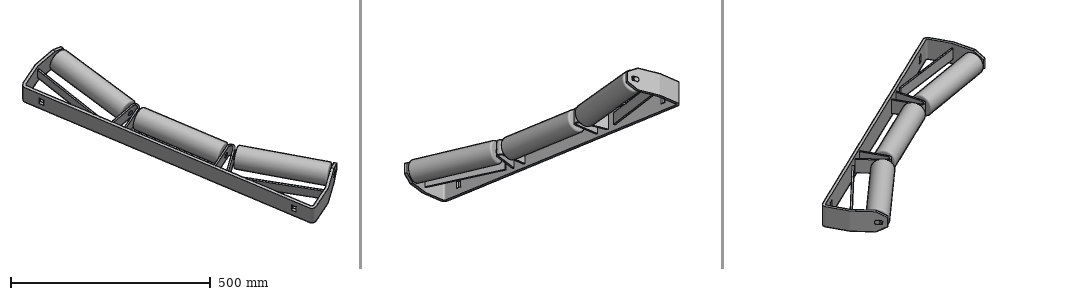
import cadquery as cq
import math

tilt = 15.0

frame_length = 830.0
frame_height = 60.0
frame_thickness = 8.0
inside_bend_radius = 5.0
upright_height = 76.7
arm_length = 94.25
tip_chamfer_length = 30.0
tip_width = 28.0

mount_hole_spacing = 715.0
mount_hole_width = 13.0
mount_hole_height = 20.0

roller_radius = 30.5
roller_length = 240.0
roller_edge_radius = 5.0
roller_gap = 4.5
roller_axis_z = 28.5
centre_axis_y = 70.0
wing_axis_below_tip = 26.2
shaft_diameter = 14.0
shaft_flat_width = 12.0
arm_slot_length = 20.5

bracket_thickness = 5.0
bracket_width = 40.0
bracket_bend_y = 82.0

brace_thickness = 5.0
brace_width = 32.0
brace_foot_x = 191.0
brace_head_y = 73.6

lean = math.radians(tilt)
half_length = frame_length / 2
upright_inside_x = half_length - frame_thickness
shaft_span = roller_length + 2 * roller_gap

along = cq.Vector(-math.sin(lean), math.cos(lean), 0)
inward = cq.Vector(-math.cos(lean), -math.sin(lean), 0)

arm_corner = cq.Vector(half_length, upright_height, 0)
arm_tip = arm_corner + along * arm_length
arm_tip_inside = arm_tip + inward * frame_thickness

wing_axis_height = cq.Vector(0, 0, roller_axis_z)
wing_span_start = arm_tip_inside - along * wing_axis_below_tip + wing_axis_height
wing_span_end = wing_span_start + inward * shaft_span


def mirrored(body):
    return body.mirror("YZ")


def plane_across_wing(origin):
    """Plane with x along the arm, y along Z and its normal inward along the wing axis."""
    return cq.Plane(origin.toTuple(), along.toTuple(), inward.toTuple())


def bent_strip():
    inside_corner_y = upright_height - frame_thickness * math.tan(lean / 2)
    right_side = [
        (half_length, 0),
        (half_length, upright_height),
        (arm_tip.x, arm_tip.y),
        (arm_tip_inside.x, arm_tip_inside.y),
        (upright_inside_x, inside_corner_y),
        (upright_inside_x, frame_thickness),
    ]
    left_side = [(-x, y) for x, y in reversed(right_side)]
    strip = cq.Workplane("XY").polyline(right_side + left_side).close().extrude(frame_height)

    outside_bend_radius = inside_bend_radius + frame_thickness
    bends = [
        (half_length, 0, outside_bend_radius),
        (half_length, upright_height, outside_bend_radius),
        (upright_inside_x, frame_thickness, inside_bend_radius),
        (upright_inside_x, inside_corner_y, inside_bend_radius),
    ]
    for side in (1, -1):
        for x, y, radius in bends:
            corner = cq.selectors.NearestToPointSelector((side * x, y, frame_height / 2))
            strip = strip.edges("|Z").edges(corner).fillet(radius)
    return strip


def tip_chamfers():
    """Triangular prisms that narrow the tip of the +X arm."""
    tip_middle = arm_tip + cq.Vector(0, 0, frame_height / 2)
    prisms = cq.Workplane(plane_across_wing(tip_middle))
    for side in (1, -1):
        edge = side * frame_height / 2
        prisms = prisms.polyline(
            [(-tip_chamfer_length, edge), (0, edge), (0, side * tip_width / 2)]
        ).close()
    return prisms.extrude(frame_thickness)


def arm_slot():
    """Slot in the +X arm whose lower end carries the wing shaft."""
    slot_centre_shift = (arm_slot_length - shaft_diameter) / 2
    plane = plane_across_wing(wing_span_start - inward * frame_thickness)
    round_slot = (
        cq.Workplane(plane)
        .center(slot_centre_shift, 0)
        .slot2D(arm_slot_length, shaft_diameter)
        .extrude(frame_thickness)
    )
    flat_sides = (
        cq.Workplane(plane)
        .center(slot_centre_shift, 0)
        .rect(arm_slot_length, shaft_flat_width)
        .extrude(frame_thickness)
    )
    return round_slot.intersect(flat_sides)


def make_frame():
    frame = bent_strip()
    for cutter in (tip_chamfers(), arm_slot()):
        frame = frame.cut(cutter).cut(mirrored(cutter))
    mount_holes = (
        cq.Workplane("XZ")
        .center(0, frame_height / 2)
        .rarray(mount_hole_spacing, 1, 2, 1)
        .rect(mount_hole_width, mount_hole_height)
        .extrude(-frame_thickness)
    )
    return frame.cut(mount_holes)


def make_roller(span_plane, start_plate, end_plate):
    """Roller with its shaft, whose ends pass through plates of the given thicknesses.

    The plane lies at the start of the clear span, square to the axis, with its y along Z.
    """
    body = (
        cq.Workplane(span_plane)
        .workplane(offset=roller_gap)
        .circle(roller_radius)
        .extrude(roller_length)
        .edges()
        .fillet(roller_edge_radius)
    )
    shaft_length = start_plate + shaft_span + end_plate
    shaft_end = cq.Workplane(span_plane).workplane(offset=-start_plate)
    round_shaft = shaft_end.circle(shaft_diameter / 2).extrude(shaft_length)
    flat_sides = shaft_end.rect(shaft_diameter, shaft_flat_width).extrude(shaft_length)
    return body.union(round_shaft.intersect(flat_sides))


def make_bracket(shafts):
    """Upright leg, bend and leaning leg at the +X end of the centre roller, bored for the shafts."""
    upright_face_x = shaft_span / 2
    upright_face_top = cq.Vector(upright_face_x, bracket_bend_y, 0)
    face_distance = (upright_face_top - wing_span_end).dot(inward)
    outside_radius = face_distance / (1 + math.cos(lean))
    bend_centre = cq.Vector(upright_face_x + outside_radius, bracket_bend_y, 0)
    middle_angle = (math.pi + lean) / 2
    to_middle = cq.Vector(math.cos(middle_angle), math.sin(middle_angle), 0)

    def side_points(radius):
        """Upright foot, upright top, bend middle, leaning top and leaning foot at one radius."""
        upright_x = bend_centre.x - radius
        middle = bend_centre + to_middle * radius
        leaning_top = bend_centre - inward * radius
        leaning_foot = leaning_top - along * ((leaning_top.y - frame_thickness) / along.y)
        points = [(upright_x, frame_thickness), (upright_x, bracket_bend_y)]
        return points + [(p.x, p.y) for p in (middle, leaning_top, leaning_foot)]

    outside = side_points(outside_radius)
    inside = side_points(outside_radius - bracket_thickness)
    bracket = (
        cq.Workplane("XY", origin=(0, 0, (frame_height - bracket_width) / 2))
        .moveTo(*outside[0])
        .lineTo(*outside[1])
        .threePointArc(outside[2], outside[3])
        .lineTo(*outside[4])
        .lineTo(*inside[4])
        .lineTo(*inside[3])
        .threePointArc(inside[2], inside[1])
        .lineTo(*inside[0])
        .close()
        .extrude(bracket_width)
    )
    for shaft in shafts:
        bracket = bracket.cut(shaft)
    return bracket


def make_brace(frame):
    """Sloping bar with a square-cut foot on the +X half of the base, trimmed to the upright."""
    foot = cq.Vector(brace_foot_x, frame_thickness, 0)
    head = cq.Vector(upright_inside_x, brace_head_y, 0)
    slope = math.atan2(head.y - foot.y, head.x - foot.x)
    foot_top = foot + cq.Vector(-math.sin(slope), math.cos(slope), 0) * brace_thickness
    head_top = head + cq.Vector(0, brace_thickness / math.cos(slope), 0)
    bar = (
        cq.Workplane("XY", origin=(0, 0, (frame_height - brace_width) / 2))
        .polyline([(p.x, p.y) for p in (foot, head, head_top, foot_top)])
        .close()
        .extrude(brace_width)
    )
    return bar.cut(frame)


frame = make_frame()

centre_span_start = (-shaft_span / 2, centre_axis_y, roller_axis_z)
centre_span_plane = cq.Plane(centre_span_start, xDir=(0, 1, 0), normal=(1, 0, 0))
centre_roller = make_roller(centre_span_plane, bracket_thickness, bracket_thickness)
wing_roller = make_roller(plane_across_wing(wing_span_start), frame_thickness, bracket_thickness)

bodies = [frame.val(), centre_roller.val()]
for paired_body in (wing_roller, make_bracket([centre_roller, wing_roller]), make_brace(frame)):
    bodies += [paired_body.val(), mirrored(paired_body).val()]

result = cq.Compound.makeCompound(bodies)